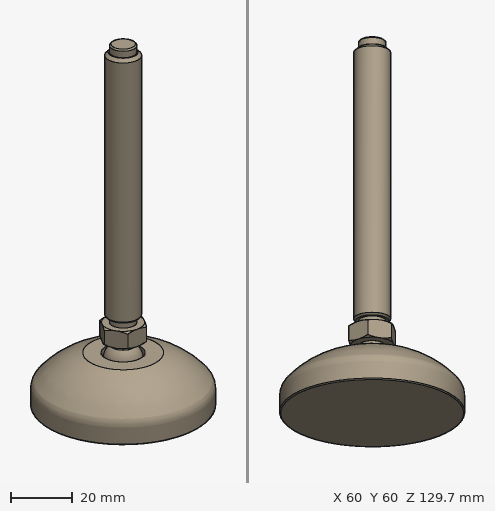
import cadquery as cq
import math

pad_radius = 60.0 / 2
pad_edge_chamfer = 0.4
pad_wall_top = 6.2
shoulder_radius = 4.3
dome_edge_z = 9.0
dome_mid_radius = 22.6
dome_mid_z = 14.7
pad_top_z = 19.1
pad_top_radius = 26.2 / 2

ball_radius = 13.2 / 2
socket_radius = 14.3 / 2
lower_neck_radius = 8.0 / 2
lower_neck_z = 21.8
ball_center_z = lower_neck_z - math.sqrt(ball_radius**2 - lower_neck_radius**2)
upper_neck_radius = 9.0 / 2

hex_flats = 14.0
hex_bottom_z = 23.7
hex_top_z = 30.0
hex_bevel_radius = hex_flats / 2
hex_bevel_height = 0.58

rod_radius = 12.0 / 2
rod_bottom_z = 32.2
rod_bottom_chamfer = 0.6
rod_top_z = 126.8
rod_top_chamfer = 1.2
pin_radius = 9.0 / 2
pin_chamfer = 0.5
total_height = 129.7


def cylinder(radius, bottom, top):
    return cq.Workplane("XY").workplane(offset=bottom).circle(radius).extrude(top - bottom)


def foot_pad():
    shoulder_rise = dome_edge_z - pad_wall_top
    shoulder_reach = math.sqrt(shoulder_radius**2 - shoulder_rise**2)
    dome_edge_radius = pad_radius - shoulder_radius + shoulder_reach
    return (
        cq.Workplane("XZ")
        .lineTo(pad_radius - pad_edge_chamfer, 0)
        .lineTo(pad_radius, pad_edge_chamfer)
        .lineTo(pad_radius, pad_wall_top)
        .tangentArcPoint((dome_edge_radius, dome_edge_z), relative=False)
        .threePointArc((dome_mid_radius, dome_mid_z), (pad_top_radius, pad_top_z))
        .lineTo(0, pad_top_z)
        .close()
        .revolve(360, (0, 0, 0), (0, 1, 0))
    )


def socket():
    return cylinder(socket_radius, ball_center_z, pad_top_z)


def ball():
    return cq.Workplane("XY").sphere(ball_radius).translate((0, 0, ball_center_z))


def hex_collar():
    corner_diameter = hex_flats / math.cos(math.pi / 6)
    hexagon = (
        cq.Workplane("XY")
        .workplane(offset=hex_bottom_z)
        .polygon(6, corner_diameter)
        .extrude(hex_top_z - hex_bottom_z)
        .rotate((0, 0, 0), (0, 0, 1), 90)
    )
    bevel_width = corner_diameter / 2 - hex_bevel_radius
    bevelled_disc = (
        cylinder(corner_diameter / 2, hex_bottom_z, hex_top_z)
        .edges()
        .chamfer(hex_bevel_height, bevel_width)
    )
    return hexagon.intersect(bevelled_disc)


def rod():
    return (
        cylinder(rod_radius, rod_bottom_z, rod_top_z)
        .faces("<Z")
        .chamfer(rod_bottom_chamfer)
        .faces(">Z")
        .chamfer(rod_top_chamfer)
    )


def pin():
    return cylinder(pin_radius, rod_top_z, total_height).faces(">Z").chamfer(pin_chamfer)


lower_neck = cylinder(lower_neck_radius, lower_neck_z, hex_bottom_z)
upper_neck = cylinder(upper_neck_radius, hex_top_z, rod_bottom_z)

result = foot_pad().cut(socket())
for section in (ball(), lower_neck, hex_collar(), upper_neck, rod(), pin()):
    result = result.union(section)